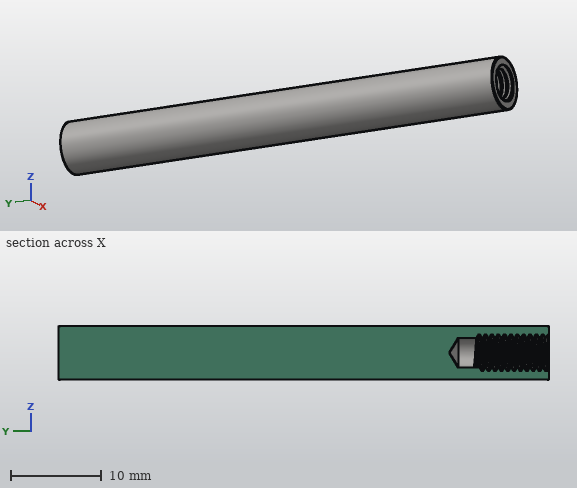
import cadquery as cq
import math

rod_diameter = 5.95
rod_length = 54.0
rim_chamfer = 0.1

thread_major_diameter = 4.0
thread_pitch = 0.7
minor_diameter_factor = 5 * math.sqrt(3) / 8
thread_minor_diameter = thread_major_diameter - minor_diameter_factor * thread_pitch
thread_depth = 8.0
drill_depth = 10.0
drill_point_angle = 118.0
countersink_clearance = 0.1
countersink_diameter = thread_major_diameter + countersink_clearance

thread_lead_in = thread_pitch
thread_start_angle = 270.0
groove_floor_width = thread_pitch / 8
groove_overlap = 0.05
flank_half_angle = 30.0

minor_radius = thread_minor_diameter / 2
major_radius = thread_major_diameter / 2


def make_rod():
    rod = cq.Workplane("XZ").circle(rod_diameter / 2).extrude(-rod_length)
    return rod.faces("<Y or >Y").chamfer(rim_chamfer)


def make_drilled_hole():
    """Countersunk mouth, straight bore and conical drill point, as one solid of revolution."""
    countersink_radius = countersink_diameter / 2
    countersink_depth = countersink_radius - minor_radius
    point_length = minor_radius / math.tan(math.radians(drill_point_angle / 2))
    return (
        cq.Workplane("XY")
        .lineTo(countersink_radius, 0)
        .lineTo(minor_radius, countersink_depth)
        .lineTo(minor_radius, drill_depth)
        .lineTo(0, drill_depth + point_length)
        .close()
        .revolve(360, (0, 0, 0), (0, 1, 0))
    )


def make_thread_groove():
    """Helical groove that starts one pitch outside the end face and ends inside the bore."""
    inner_radius = minor_radius - groove_overlap
    floor_half_width = groove_floor_width / 2
    flank_spread = (major_radius - inner_radius) * math.tan(math.radians(flank_half_angle))
    mouth_half_width = floor_half_width + flank_spread
    helix = cq.Wire.makeHelix(thread_pitch, thread_lead_in + thread_depth, minor_radius)
    groove = (
        cq.Workplane("XZ")
        .polyline(
            [
                (inner_radius, -mouth_half_width),
                (major_radius, -floor_half_width),
                (major_radius, floor_half_width),
                (inner_radius, mouth_half_width),
            ]
        )
        .close()
        .sweep(cq.Workplane(obj=helix), isFrenet=True)
    )
    return (
        groove.rotate((0, 0, 0), (0, 0, 1), thread_start_angle)
        .translate((0, 0, -thread_lead_in))
        .rotate((0, 0, 0), (1, 0, 0), -90)
    )


result = make_rod().cut(make_thread_groove()).cut(make_drilled_hole())